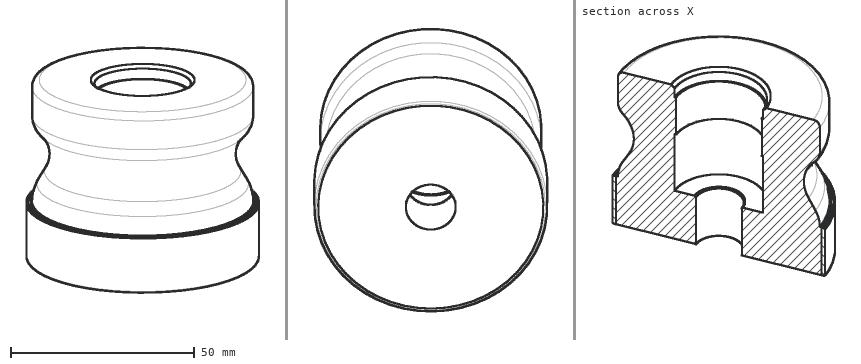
import cadquery as cq
import math

total_height = 50.8
sleeve_radius = 31.75
sleeve_height = 16.0

core_foot_radius = 30.7
sleeve_chamfer_width = 0.5
sleeve_chamfer_height = 0.3
sleeve_bottom_fillet = 0.5

body_radius = 30.15
neck_radius = 25.4
top_fillet = 2.0
waist_arc_radius = 10.05
shoulder_arc_radius = 5.0
flank_angle = math.radians(30)

bore_radius = 12.75
counterbore_radius = 13.15
bore_mouth_chamfer = 1.0
counterbore_depth = 3.95
undercut_top = 34.55
floor_height = sleeve_height
hole_radius = 6.8
hole_chamfer = 0.4

waist_depth = body_radius - neck_radius
waist_rise = waist_arc_radius * math.sin(flank_angle)
waist_step = waist_arc_radius * (1 - math.cos(flank_angle))
flank_rise = (waist_depth - 2 * waist_step) / math.tan(flank_angle)
neck_height = sleeve_height + 2 * waist_rise + flank_rise
shoulder_angle = math.acos(1 - waist_depth / (waist_arc_radius + shoulder_arc_radius))
head_bottom = neck_height + (waist_arc_radius + shoulder_arc_radius) * math.sin(shoulder_angle)


def arc_point(centre, radius, angle):
    """Point (radius, height) on an arc, with the angle measured up from horizontal outward."""
    return (centre[0] + radius * math.cos(angle), centre[1] + radius * math.sin(angle))


def make_core_blank():
    """Solid of revolution with a cylindrical foot, a waist and a rounded head."""
    foot_centre = (body_radius - waist_arc_radius, sleeve_height)
    waist_centre = (neck_radius + waist_arc_radius, neck_height)
    head_centre = (body_radius - shoulder_arc_radius, head_bottom)
    profile = (
        cq.Workplane("XZ")
        .moveTo(0, 0)
        .lineTo(core_foot_radius, 0)
        .lineTo(core_foot_radius, sleeve_height)
        .lineTo(body_radius, sleeve_height)
        .threePointArc(
            arc_point(foot_centre, waist_arc_radius, flank_angle / 2),
            arc_point(foot_centre, waist_arc_radius, flank_angle),
        )
        .lineTo(*arc_point(waist_centre, waist_arc_radius, math.pi + flank_angle))
        .threePointArc(
            (neck_radius, neck_height),
            arc_point(waist_centre, waist_arc_radius, math.pi - shoulder_angle),
        )
        .threePointArc(
            arc_point(head_centre, shoulder_arc_radius, -shoulder_angle / 2),
            (body_radius, head_bottom),
        )
        .lineTo(body_radius, total_height)
        .lineTo(0, total_height)
        .close()
    )
    blank = profile.revolve(360, (0, 0, 0), (0, 1, 0))
    return blank.faces(">Z").edges().fillet(top_fillet)


def make_bore_cutter():
    """Stepped bore: chamfered counterbore, bore, undercut and chamfered through hole."""
    counterbore_bottom = total_height - counterbore_depth
    chamfer_bottom = total_height - bore_mouth_chamfer
    return (
        cq.Workplane("XZ")
        .moveTo(0, 0)
        .lineTo(hole_radius, 0)
        .lineTo(hole_radius, floor_height - hole_chamfer)
        .lineTo(hole_radius + hole_chamfer, floor_height)
        .lineTo(counterbore_radius, floor_height)
        .lineTo(counterbore_radius, undercut_top)
        .lineTo(bore_radius, undercut_top)
        .lineTo(bore_radius, counterbore_bottom)
        .lineTo(counterbore_radius, counterbore_bottom)
        .lineTo(counterbore_radius, chamfer_bottom)
        .lineTo(counterbore_radius + bore_mouth_chamfer, total_height)
        .lineTo(0, total_height)
        .close()
        .revolve(360, (0, 0, 0), (0, 1, 0))
    )


def make_core():
    return make_core_blank().cut(make_bore_cutter())


def make_sleeve():
    """Ring with a small chamfer on its top rim and a rounded bottom edge."""
    ring = (
        cq.Workplane("XZ")
        .moveTo(core_foot_radius, 0)
        .lineTo(sleeve_radius, 0)
        .lineTo(sleeve_radius, sleeve_height - sleeve_chamfer_height)
        .lineTo(sleeve_radius - sleeve_chamfer_width, sleeve_height)
        .lineTo(core_foot_radius, sleeve_height)
        .close()
        .revolve(360, (0, 0, 0), (0, 1, 0))
    )
    outer_bottom_edge = cq.selectors.RadiusNthSelector(-1)
    return ring.faces("<Z").edges(outer_bottom_edge).fillet(sleeve_bottom_fillet)


core = make_core()
sleeve = make_sleeve()
result = cq.Compound.makeCompound([core.val(), sleeve.val()])